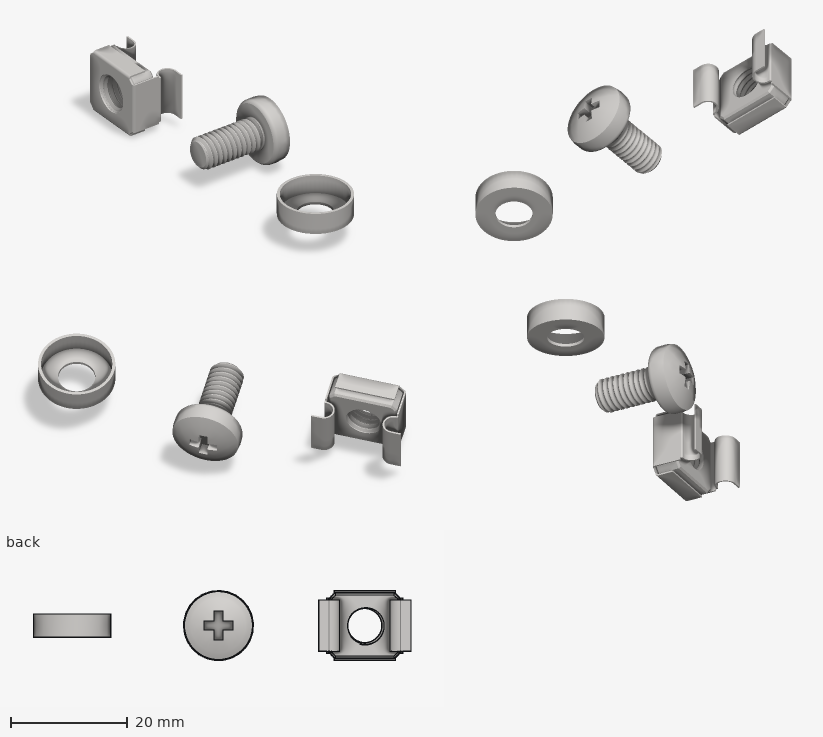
import cadquery as cq
import math

overall_length = 64.55

sheet = 0.3
bend_radius = 0.5
inner_bend_radius = bend_radius - sheet
clip_width = 13.05
clip_height = 12.0
wall_height = 9.5
wall_depth = 5.4
flange_width = 10.5
flange_depth = 3.35
clip_hole_diameter = 7.05
arm_height = 8.8
arm_span = 15.8
arm_root_y = 5.6
arm_tip_y = 9.3
arm_curl_radius = (arm_tip_y - arm_root_y) / 2
arm_curl_x = 6.1

nut_width = 12.0
nut_height = 11.1
nut_depth = 4.45
nut_corner = 0.9
nut_face_chamfer = 0.3
nut_bore_diameter = 5.8
nut_thread_diameter = 6.65
nut_mouth_diameter = 7.0

pitch = 1.0
groove_mouth = 1.0
groove_root = 0.1
groove_overlap = 0.05

screw_diameter = 6.0
screw_core_diameter = 5.0
screw_length = 12.0
screw_tip_y = 0.2
tip_chamfer = 0.65
collar_length = 0.3
head_diameter = 12.0
head_height = 4.85
head_rim_diameter = 11.6
head_face_diameter = 10.85
head_edge_diameter = 11.9
head_edge_height = 0.85
head_edge_radius = 0.9
head_widest_height = 1.75
dome_height = 1.6
recess_span = 4.9
recess_width = 1.55
recess_depth = 2.25

washer_diameter = 13.25
washer_hole_diameter = 6.4
washer_height = 4.0
washer_wall = 0.5
washer_y = 6.85

washer_x = overall_length - arm_span / 2 - washer_diameter / 2
screw_x = washer_x / 2


def block(width, depth, height, front=0.0):
    """Box centred on X and Z whose front face lies at Y = front."""
    return cq.Workplane("XY").box(width, depth, height).translate((0, front + depth / 2, 0))


def rod(diameter, length, front=0.0):
    """Cylinder along the Y axis starting at Y = front."""
    return cq.Workplane("XZ", origin=(0, front, 0)).circle(diameter / 2).extrude(-length)


def threaded_rod(diameter, core_diameter, length, front=0.0):
    """Rod along the Y axis with a right-hand V groove, threaded from Y = front over its length.

    The rod and its groove run past both ends of that length, so it must be trimmed or used as a tap.
    """
    groove_overrun = 1.5 * pitch
    rod_overrun = 2 * groove_overrun
    shaft = rod(diameter, length + 2 * rod_overrun, front - rod_overrun)
    mouth_radius = diameter / 2 + groove_overlap
    core_radius = core_diameter / 2
    profile = cq.Workplane("XZ").polyline([
        (mouth_radius, -groove_mouth / 2),
        (mouth_radius, groove_mouth / 2),
        (core_radius, groove_root / 2),
        (core_radius, -groove_root / 2),
    ]).close()
    helix = cq.Wire.makeHelix(pitch, length + 2 * groove_overrun, diameter / 2)
    groove = profile.sweep(cq.Workplane(helix), isFrenet=True)
    groove = groove.rotate((0, 0, 0), (1, 0, 0), -90).translate((0, front - groove_overrun, 0))
    return shaft.cut(groove)


def make_wall_channel():
    """Front plate with the two side walls folded back from its left and right edges."""
    outer = block(clip_width, wall_depth, wall_height).edges("<Y and |Z").fillet(bend_radius)
    inner = block(clip_width - 2 * sheet, wall_depth, wall_height, sheet)
    inner = inner.edges("<Y and |Z").fillet(inner_bend_radius)
    return outer.cut(inner)


def make_flange_channel():
    """Front plate with the two flanges folded back from its top and bottom edges."""
    outer = block(flange_width, flange_depth, clip_height).edges("<Y and |X").fillet(bend_radius)
    inner = block(flange_width, flange_depth, clip_height - 2 * sheet, sheet)
    inner = inner.edges("<Y and |X").fillet(inner_bend_radius)
    return outer.cut(inner)


def make_corner_web():
    """Flat octagonal plate that joins the two channels across their corners."""
    half_width = clip_width / 2 - bend_radius
    half_height = clip_height / 2 - bend_radius
    outline = [
        (half_width, wall_height / 2),
        (flange_width / 2, half_height),
        (-flange_width / 2, half_height),
        (-half_width, wall_height / 2),
        (-half_width, -wall_height / 2),
        (-flange_width / 2, -half_height),
        (flange_width / 2, -half_height),
        (half_width, -wall_height / 2),
    ]
    return cq.Workplane("XZ").polyline(outline).close().extrude(-sheet)


def make_spring_arm():
    """Right arm: rises from the wall, curls inward and ends in a lip that points outward."""
    wall_x = clip_width / 2
    lip_x = arm_span / 2
    inner_radius = arm_curl_radius - sheet
    curl_y = arm_root_y + arm_curl_radius
    turn_y = arm_root_y + sheet
    return (
        cq.Workplane("XY", origin=(0, 0, -arm_height / 2))
        .moveTo(wall_x, wall_depth - sheet)
        .lineTo(wall_x, turn_y - sheet)
        .radiusArc((wall_x - sheet, turn_y), -sheet)
        .lineTo(arm_curl_x, turn_y)
        .threePointArc((arm_curl_x - inner_radius, curl_y), (arm_curl_x, arm_tip_y - sheet))
        .lineTo(lip_x, arm_tip_y - sheet)
        .lineTo(lip_x, arm_tip_y)
        .lineTo(arm_curl_x, arm_tip_y)
        .threePointArc((arm_curl_x - arm_curl_radius, curl_y), (arm_curl_x, arm_root_y))
        .lineTo(wall_x - sheet, arm_root_y)
        .lineTo(wall_x - sheet, wall_depth - sheet)
        .close()
        .extrude(arm_height)
    )


def make_clip():
    right_arm = make_spring_arm()
    left_arm = right_arm.mirror("YZ")
    clip = make_wall_channel().union(make_flange_channel()).union(make_corner_web())
    clip = clip.union(right_arm).union(left_arm)
    return clip.cut(rod(clip_hole_diameter, sheet))


def make_nut():
    """Square nut with cut corners and a tapped hole along the Y axis."""
    nut = block(nut_width, nut_depth, nut_height, sheet)
    nut = nut.edges("|Y").chamfer(nut_corner)
    nut = nut.faces("<Y or >Y").edges().chamfer(nut_face_chamfer)
    nut = nut.cut(threaded_rod(nut_thread_diameter, nut_bore_diameter, nut_depth, sheet))
    mouth_depth = (nut_mouth_diameter - nut_bore_diameter) / 2
    mouth = cq.Solid.makeCone(
        nut_mouth_diameter / 2, nut_bore_diameter / 2, mouth_depth, cq.Vector(0, sheet, 0), cq.Vector(0, 1, 0)
    )
    return nut.cut(cq.Workplane(mouth))


def make_screw_shank():
    """Threaded shank with a chamfered tip and a short plain collar under the head."""
    blank = rod(screw_diameter, screw_length, screw_tip_y).faces("<Y").chamfer(tip_chamfer)
    thread = threaded_rod(screw_diameter, screw_core_diameter, screw_length, screw_tip_y)
    shank = thread.intersect(blank)
    collar = rod(screw_diameter, collar_length, screw_tip_y + screw_length - collar_length)
    return shank.union(collar)


def make_screw_head():
    """Domed head revolved about the Y axis, with a cross recess in its top."""
    underside_y = screw_tip_y + screw_length
    top_y = underside_y + head_height
    rim_y = top_y - dome_height
    rim_radius = head_rim_diameter / 2
    dome_radius = (rim_radius ** 2 + dome_height ** 2) / (2 * dome_height)
    mid_x = rim_radius / 2
    mid_y = top_y - dome_radius + math.sqrt(dome_radius ** 2 - mid_x ** 2)
    head = (
        cq.Workplane("XY")
        .moveTo(0, underside_y)
        .lineTo(head_face_diameter / 2, underside_y)
        .radiusArc((head_edge_diameter / 2, underside_y + head_edge_height), -head_edge_radius)
        .threePointArc((head_diameter / 2, underside_y + head_widest_height), (rim_radius, rim_y))
        .threePointArc((mid_x, mid_y), (0, top_y))
        .close()
        .revolve(360, (0, 0, 0), (0, 1, 0))
    )
    recess_y = top_y - recess_depth
    head = head.cut(block(recess_span, recess_depth, recess_width, recess_y))
    return head.cut(block(recess_width, recess_depth, recess_span, recess_y))


def make_screw():
    return make_screw_shank().union(make_screw_head()).translate((screw_x, 0, 0))


def make_washer():
    """Cup open toward +Z with a central hole in its floor."""
    washer = cq.Workplane("XY", origin=(washer_x, washer_y, -washer_height / 2))
    washer = washer.circle(washer_diameter / 2).extrude(washer_height)
    cup_depth = washer_height - washer_wall
    washer = washer.faces(">Z").workplane().hole(washer_diameter - 2 * washer_wall, cup_depth)
    return washer.faces(">Z").workplane().hole(washer_hole_diameter)


clip = make_clip().solids()
nut = make_nut().solids()
screw = make_screw().solids()
washer = make_washer().solids()

result = cq.Compound.makeCompound([clip.val(), nut.val(), screw.val(), washer.val()])